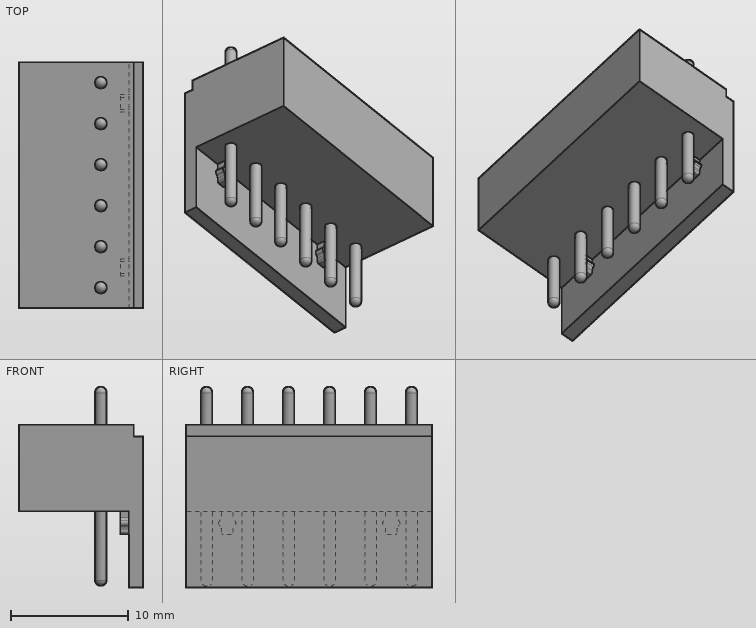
import cadquery as cq

length = 21.0
depth = 10.6
body_bottom = 6.5
body_top = 13.92
plate_thickness = 1.22
step_width = 0.8
step_height = 1.0

pin_count = 6
pin_pitch = length / pin_count
pin_radius = 0.5
pin_x = 7.0
pin_bottom = 0.15
pin_top = 17.15

key_thickness = 0.75
key_half_width = 0.5
key_length = 1.97
key_offset = 2 * pin_pitch
key_corner_radius = 0.2
bulge_start = 0.48
bulge_inflection = 0.75
bulge_middle = 0.99
bulge_half_width = 0.74


def make_housing():
    plate_face = depth - plate_thickness
    step_x = depth - step_width
    step_z = body_top - step_height
    return (
        cq.Workplane("XZ")
        .moveTo(0, body_bottom)
        .lineTo(plate_face, body_bottom)
        .lineTo(plate_face, 0)
        .lineTo(depth, 0)
        .lineTo(depth, step_z)
        .lineTo(step_x, step_z)
        .lineTo(step_x, body_top)
        .lineTo(0, body_top)
        .close()
        .extrude(length / 2, both=True)
    )


def make_pin(y):
    """Round pin through the body, with a hemispherical tip at each end."""
    return (
        cq.Workplane("XZ", origin=(pin_x, y, 0))
        .moveTo(0, pin_bottom)
        .radiusArc((pin_radius, pin_bottom + pin_radius), -pin_radius)
        .lineTo(pin_radius, pin_top - pin_radius)
        .radiusArc((0, pin_top), -pin_radius)
        .close()
        .revolve(360, (0, 0, 0), (0, 1, 0))
    )


def make_key(y):
    """Tongue with rounded lower corners and a smooth S-curved bulge on each side."""
    inflection_share = (bulge_inflection - bulge_start) / (bulge_middle - bulge_start)
    inflection_width = key_half_width + inflection_share * (bulge_half_width - key_half_width)
    lower_inflection = 2 * bulge_middle - bulge_inflection
    bulge_end = 2 * bulge_middle - bulge_start
    corner_start = key_length - key_corner_radius

    plane = cq.Plane(origin=(depth - plate_thickness, y, body_bottom), xDir=(0, 1, 0), normal=(1, 0, 0))
    half = (
        cq.Workplane(plane)
        .lineTo(key_half_width, 0)
        .lineTo(key_half_width, -bulge_start)
        .tangentArcPoint((inflection_width, -bulge_inflection), relative=False)
        .tangentArcPoint((bulge_half_width, -bulge_middle), relative=False)
        .tangentArcPoint((inflection_width, -lower_inflection), relative=False)
        .tangentArcPoint((key_half_width, -bulge_end), relative=False)
        .lineTo(key_half_width, -corner_start)
        .tangentArcPoint((key_half_width - key_corner_radius, -key_length), relative=False)
        .lineTo(0, -key_length)
        .close()
        .extrude(-key_thickness)
    )
    return half.union(half.mirror("XZ", (0, y, 0)))


result = make_housing()
for index in range(pin_count):
    result = result.union(make_pin((index - (pin_count - 1) / 2) * pin_pitch))
for key_y in (-key_offset, key_offset):
    result = result.union(make_key(key_y))